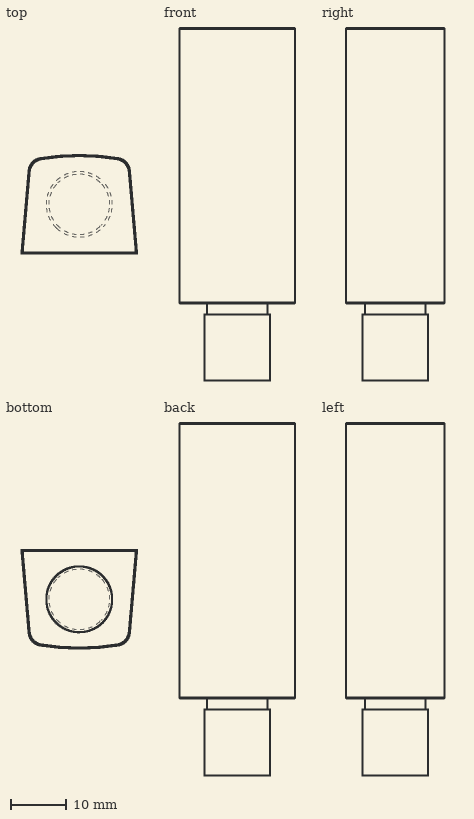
import cadquery as cq

total_height = 64.0
body_height = 50.0
body_depth = 17.9
front_width = 21.0
back_width = 18.05
back_bow = 0.95
back_corner_radius = 2.6
end_edge_chamfer = 0.2

plug_diameter = 12.0
neck_diameter = 11.0
neck_height = 2.0
plug_height = total_height - body_height - neck_height

plug_bottom = -total_height / 2
neck_bottom = plug_bottom + plug_height
body_bottom = neck_bottom + neck_height
front_y = -body_depth / 2
back_y = body_depth / 2


def make_body():
    back_corner_y = back_y - back_bow
    body = (
        cq.Workplane("XY", origin=(0, 0, body_bottom))
        .moveTo(-front_width / 2, front_y)
        .lineTo(front_width / 2, front_y)
        .lineTo(back_width / 2, back_corner_y)
        .threePointArc((0, back_y), (-back_width / 2, back_corner_y))
        .close()
        .extrude(body_height)
    )
    body = body.edges("|Z").edges(">Y").fillet(back_corner_radius)
    return body.faces("<Z or >Z").edges().chamfer(end_edge_chamfer)


def make_cylinder(diameter, height, bottom):
    return cq.Workplane("XY", origin=(0, 0, bottom)).circle(diameter / 2).extrude(height)


plug = make_cylinder(plug_diameter, plug_height, plug_bottom)
neck = make_cylinder(neck_diameter, neck_height, neck_bottom)
result = make_body().union(neck).union(plug)